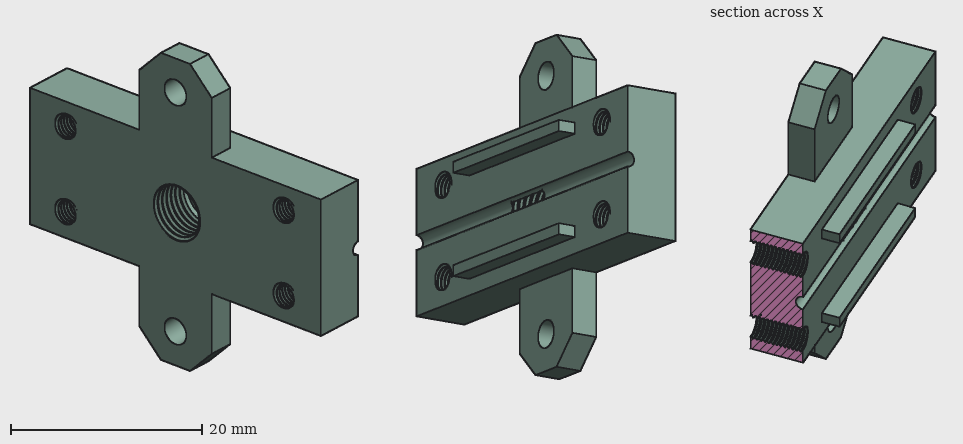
import cadquery as cq


block_length = 40.0
block_height = 16.0
block_thickness = 6.0

tab_width = 10.0
tab_span = 36.0
tab_thickness = 3.0
tab_chamfer = 3.0
tab_hole_diameter = 3.0
tab_hole_edge_distance = 4.0
tab_hole_z = tab_span / 2 - tab_hole_edge_distance

rail_length = 20.0
rail_projection = 2.0
rail_inner_z = 5.0
rail_height = 1.2

groove_radius = 0.8

bore_diameter = 6.0
bore_thread_diameter = 6.73
bore_pitch = 0.7
bore_depth = 5.4
bore_thread_start_angle = 0.0

screw_diameter = 2.53
screw_thread_diameter = 3.09
screw_pitch = 0.45
screw_x = 15.0
screw_z = 5.0
screw_thread_start_angle = 180.0

groove_mouth_share = 0.8
groove_root_share = 0.2
root_overlap = 0.02


def box_from_front(length, thickness, height):
    """Box centred on X and Z whose front face is on y = 0."""
    return cq.Workplane("XY").box(length, thickness, height).translate((0, thickness / 2, 0))


def cylinder_from_front(diameter, depth, x, z):
    """Cylinder running from the front face toward +Y."""
    return cq.Workplane("XZ", origin=(x, 0, z)).circle(diameter / 2).extrude(-depth)


def make_tab():
    strip = box_from_front(tab_width, tab_thickness, tab_span)
    strip = strip.edges("|Y").chamfer(tab_chamfer)
    for z in (-tab_hole_z, tab_hole_z):
        strip = strip.cut(cylinder_from_front(tab_hole_diameter, tab_thickness, 0, z))
    return strip


def make_rail(side):
    centre_z = side * (rail_inner_z + rail_height / 2)
    rail = box_from_front(rail_length, rail_projection, rail_height)
    return rail.translate((0, block_thickness, centre_z))


def make_back_groove():
    plane = cq.Workplane("YZ", origin=(-block_length / 2, block_thickness, 0))
    return plane.circle(groove_radius).extrude(block_length)


def make_thread(minor_diameter, major_diameter, pitch, start, end, start_angle, x, z):
    """Right-handed flat-rooted thread groove around a hole, coiling along Y from start to end."""
    inner = minor_diameter / 2 - root_overlap
    outer = major_diameter / 2
    half_mouth = pitch * groove_mouth_share / 2
    half_root = pitch * groove_root_share / 2
    helix = cq.Wire.makeHelix(pitch, end - start, minor_diameter / 2)
    groove_corners = [(inner, -half_mouth), (outer, -half_root), (outer, half_root), (inner, half_mouth)]
    profile = cq.Workplane("XZ").polyline(groove_corners).close()
    coil = profile.sweep(cq.Workplane(obj=helix), isFrenet=True)
    coil = coil.rotate((0, 0, 0), (0, 0, 1), start_angle)
    coil = coil.rotate((0, 0, 0), (1, 0, 0), -90)
    return coil.translate((x, start, z))


def cut_centre_bore(body):
    thread_end = bore_depth - bore_pitch / 2
    thread = make_thread(
        bore_diameter, bore_thread_diameter, bore_pitch,
        -bore_pitch, thread_end, bore_thread_start_angle, 0, 0,
    )
    return body.cut(thread).cut(cylinder_from_front(bore_diameter, bore_depth, 0, 0))


def cut_screw_hole(body, x, z):
    thread = make_thread(
        screw_diameter, screw_thread_diameter, screw_pitch,
        -screw_pitch, block_thickness + screw_pitch, screw_thread_start_angle, x, z,
    )
    return body.cut(thread).cut(cylinder_from_front(screw_diameter, block_thickness, x, z))


body = box_from_front(block_length, block_thickness, block_height).union(make_tab())
for side in (-1, 1):
    body = body.union(make_rail(side))
body = cut_centre_bore(body)
for x in (-screw_x, screw_x):
    for z in (-screw_z, screw_z):
        body = cut_screw_hole(body, x, z)
body = body.cut(make_back_groove())

result = body